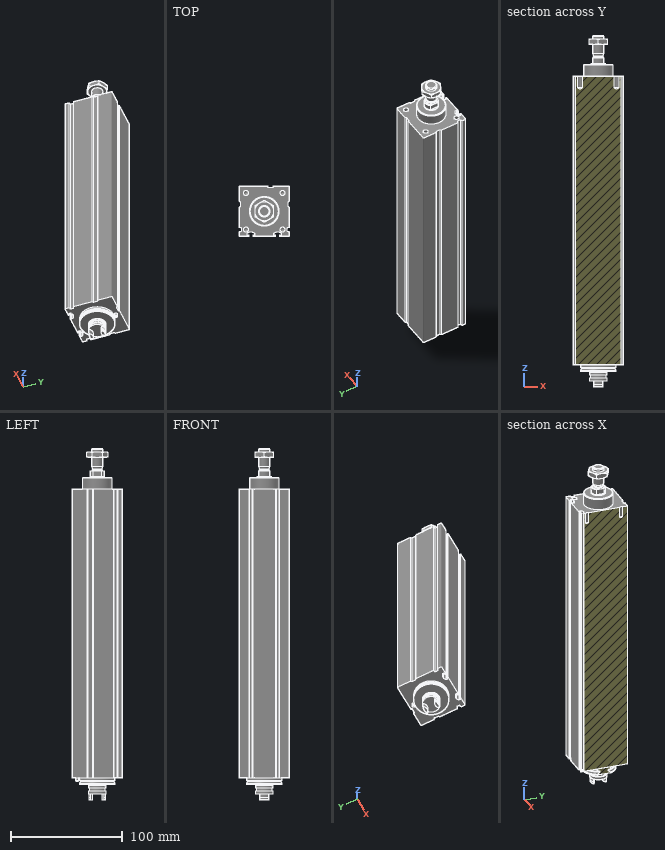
import cadquery as cq
import math

OVERALL_LENGTH = 314.8

HOUSING_SIDE = 45.0
HOUSING_LENGTH = 258.5
HOUSING_CORNER_RADIUS = 0.8
HALF_SIDE = HOUSING_SIDE / 2

SCREW_HOLE_OFFSET = 16.5
SCREW_HOLE_DIAMETER = 4.5
SCREW_HOLE_DEPTH = 10.0
DRILL_POINT_ANGLE = 118.0

SENSOR_SLOT_OFFSET = 12.0
SENSOR_SLOT_WIDTH = 6.5
SENSOR_SLOT_WALL = 1.5
SENSOR_SLOT_HEIGHT = 2.8
SENSOR_SLOT_ROOF = 2.2
SENSOR_SLOT_MOUTH = 3.8
SENSOR_SLOT_LIP = 1.1

CLAMP_GROOVE_Y = -16.5
CLAMP_GROOVE_WIDTH = 4.0
CLAMP_GROOVE_FLOOR = 2.8
CLAMP_GROOVE_DEPTH = 2.0

SIDE_GROOVE_Y = 6.3
SIDE_GROOVE_WIDTH = 5.7
SIDE_GROOVE_FLOOR = 3.8
BACK_GROOVE_X = 5.7
BACK_GROOVE_WIDTH = 4.7
SHALLOW_GROOVE_DEPTH = 1.1

CAP_DIAMETER = 26.5
CAP_LENGTH = 10.7
CAP_CHAMFER = 0.5

ROD_DIAMETER = 13.2
ROD_COLLAR_TOP = 0.5
WRENCH_DIAMETER = 12.5
WRENCH_FLATS = 10.0
WRENCH_TOP = 5.7
NECK_DIAMETER = 8.5
NECK_BOTTOM = 6.5
NECK_TOP = 7.5
STUD_DIAMETER = 10.0
STUD_START = 9.5
STUD_CHAMFER = 0.8

NUT_ACROSS_FLATS = 17.0
NUT_SIDES = 6
NUT_HEIGHT = 5.0
NUT_BEVEL_ANGLE = 30.0
STUD_ABOVE_NUT = 3.0

FLANGE_DIAMETER = 31.8
FLANGE_WAIST_DIAMETER = 30.2
FLANGE_LENGTH = 6.0
WAIST_TOP = 2.2
WAIST_BOTTOM = 3.0
RIM_TOP = 5.0

HUB_DIAMETER = 16.0
HUB_SPIGOT_DIAMETER = 13.2
HUB_TOP = 7.0
HUB_GROOVE_DIAMETER = 14.2
HUB_GROOVE_TOP = 8.8
HUB_GROOVE_BOTTOM = 11.5
HUB_BOTTOM = 14.5

CLAW_OUTER_DIAMETER = 15.0
CLAW_WIDTH = 8.5
CLAW_INNER_Y = 4.0
CLAW_GROOVE_DEPTH = 0.15
CLAW_GROOVE_TOP = 17.3
CLAW_GROOVE_BOTTOM = 19.2
CLAW_BOTTOM = 19.8
CLAW_CHAMFER = 0.47

PIN_DIAMETER = 3.0
PIN_LENGTH = 3.0
PIN_Y = 18.0
PIN_CHAMFER = 0.5

CAP_TOP = HOUSING_LENGTH + CAP_LENGTH
STUD_TOP = OVERALL_LENGTH - CLAW_BOTTOM
NUT_TOP = STUD_TOP - STUD_ABOVE_NUT
NUT_BOTTOM = NUT_TOP - NUT_HEIGHT


def turned(profile):
    """Solid of revolution about Z from (radius, z) points that start and end on the axis."""
    return cq.Workplane("XZ").polyline(profile).close().revolve(360, (0, 0, 0), (0, 1, 0))


def groove_cutter(mouth_width, floor_width, depth):
    """Full-length trapezoidal groove, open to +Y at Y = 0 and running along Z from Z = 0."""
    outline = [
        (-mouth_width / 2, 0),
        (-floor_width / 2, -depth),
        (floor_width / 2, -depth),
        (mouth_width / 2, 0),
    ]
    return cq.Workplane("XY").polyline(outline).close().extrude(HOUSING_LENGTH)


def sensor_slot_cutter(x):
    """Slot behind a narrow mouth in the -Y face, with bevels rising to a flat roof."""
    lip_y = -HALF_SIDE + SENSOR_SLOT_LIP
    half_outline = [
        (SENSOR_SLOT_MOUTH / 2, -HALF_SIDE),
        (SENSOR_SLOT_MOUTH / 2, lip_y),
        (SENSOR_SLOT_WIDTH / 2, lip_y),
        (SENSOR_SLOT_WIDTH / 2, lip_y + SENSOR_SLOT_WALL),
        (SENSOR_SLOT_ROOF / 2, lip_y + SENSOR_SLOT_HEIGHT),
    ]
    mirrored_half = [(-half_x, y) for half_x, y in reversed(half_outline)]
    slot = cq.Workplane("XY").polyline(half_outline + mirrored_half).close().extrude(HOUSING_LENGTH)
    return slot.translate((x, 0, 0))


def screw_hole_cutter(x, y):
    """Blind hole in the front end face with a drill-point bottom."""
    radius = SCREW_HOLE_DIAMETER / 2
    cone_top = HOUSING_LENGTH - SCREW_HOLE_DEPTH
    tip = cone_top - radius / math.tan(math.radians(DRILL_POINT_ANGLE / 2))
    hole = turned([(0, tip), (radius, cone_top), (radius, HOUSING_LENGTH), (0, HOUSING_LENGTH)])
    return hole.translate((x, y, 0))


def make_housing():
    """Square profile body with lengthwise grooves and four screw holes in front."""
    body = (
        cq.Workplane("XY")
        .rect(HOUSING_SIDE, HOUSING_SIDE)
        .extrude(HOUSING_LENGTH)
        .edges("|Z")
        .fillet(HOUSING_CORNER_RADIUS)
    )
    side_groove = groove_cutter(SIDE_GROOVE_WIDTH, SIDE_GROOVE_FLOOR, SHALLOW_GROOVE_DEPTH)
    clamp_groove = groove_cutter(CLAMP_GROOVE_WIDTH, CLAMP_GROOVE_FLOOR, CLAMP_GROOVE_DEPTH)
    back_groove = groove_cutter(BACK_GROOVE_WIDTH, BACK_GROOVE_WIDTH, SHALLOW_GROOVE_DEPTH)
    body = body.cut(back_groove.translate((BACK_GROOVE_X, HALF_SIDE, 0)))
    for side in (-1, 1):
        for groove, y in ((side_groove, SIDE_GROOVE_Y), (clamp_groove, CLAMP_GROOVE_Y)):
            facing_side = groove.rotate((0, 0, 0), (0, 0, 1), -90 * side)
            body = body.cut(facing_side.translate((side * HALF_SIDE, y, 0)))
        body = body.cut(sensor_slot_cutter(side * SENSOR_SLOT_OFFSET))
        for end in (-1, 1):
            body = body.cut(screw_hole_cutter(side * SCREW_HOLE_OFFSET, end * SCREW_HOLE_OFFSET))
    return body


def make_cap():
    """Round cap, chamfered in front and bored for the rod."""
    blank = (
        cq.Workplane("XY", origin=(0, 0, HOUSING_LENGTH))
        .circle(CAP_DIAMETER / 2)
        .extrude(CAP_LENGTH)
        .faces(">Z")
        .chamfer(CAP_CHAMFER)
    )
    return blank.faces(">Z").workplane().hole(ROD_DIAMETER)


def make_rod():
    """Round rod with a two-flat wrench section, a relieved neck and the threaded stud."""
    rod_radius = ROD_DIAMETER / 2
    wrench_radius = WRENCH_DIAMETER / 2
    half_flats = WRENCH_FLATS / 2
    neck_radius = NECK_DIAMETER / 2
    stud_radius = STUD_DIAMETER / 2
    collar_z = CAP_TOP + ROD_COLLAR_TOP
    wrench_z = CAP_TOP + WRENCH_TOP
    rod = turned([
        (0, HOUSING_LENGTH),
        (rod_radius, HOUSING_LENGTH),
        (rod_radius, collar_z),
        (wrench_radius, collar_z),
        (wrench_radius, wrench_z),
        (half_flats, wrench_z),
        (neck_radius, CAP_TOP + NECK_BOTTOM),
        (neck_radius, CAP_TOP + NECK_TOP),
        (stud_radius, CAP_TOP + STUD_START),
        (stud_radius, STUD_TOP - STUD_CHAMFER),
        (stud_radius - STUD_CHAMFER, STUD_TOP),
        (0, STUD_TOP),
    ])
    for side in (-1, 1):
        flat = (
            cq.Workplane("XY", origin=(side * (half_flats + wrench_radius), 0, collar_z))
            .rect(WRENCH_DIAMETER, WRENCH_DIAMETER)
            .extrude(wrench_z - collar_z)
        )
        rod = rod.cut(flat)
    return rod


def make_nut():
    """Hexagon nut with flats facing -X and +X and its corners bevelled at both ends."""
    half_sector = 180 / NUT_SIDES
    flat_radius = NUT_ACROSS_FLATS / 2
    corner_radius = flat_radius / math.cos(math.radians(half_sector))
    bevel_drop = (corner_radius - flat_radius) * math.tan(math.radians(NUT_BEVEL_ANGLE))
    bevelled_blank = turned([
        (0, NUT_BOTTOM),
        (flat_radius, NUT_BOTTOM),
        (corner_radius, NUT_BOTTOM + bevel_drop),
        (corner_radius, NUT_TOP - bevel_drop),
        (flat_radius, NUT_TOP),
        (0, NUT_TOP),
    ])
    return (
        cq.Workplane("XY", origin=(0, 0, NUT_BOTTOM))
        .transformed(rotate=(0, 0, half_sector))
        .polygon(NUT_SIDES, 2 * corner_radius)
        .circle(STUD_DIAMETER / 2)
        .extrude(NUT_HEIGHT)
        .intersect(bevelled_blank)
    )


def make_flange():
    """Round rear flange with a tapered waist groove."""
    rim = FLANGE_DIAMETER / 2
    waist = FLANGE_WAIST_DIAMETER / 2
    return turned([
        (0, 0),
        (rim, 0),
        (rim, -WAIST_TOP),
        (waist, -WAIST_TOP),
        (waist, -WAIST_BOTTOM),
        (rim, -RIM_TOP),
        (rim, -FLANGE_LENGTH),
        (0, -FLANGE_LENGTH),
    ])


def claw_prism():
    """Lens-shaped claw on the +Y side, convex outwards and inwards."""
    outer_y = CLAW_OUTER_DIAMETER / 2
    half_width = CLAW_WIDTH / 2
    tip_y = math.sqrt(outer_y**2 - half_width**2)
    return (
        cq.Workplane("XY", origin=(0, 0, -CLAW_BOTTOM))
        .moveTo(-half_width, tip_y)
        .threePointArc((0, outer_y), (half_width, tip_y))
        .threePointArc((0, CLAW_INNER_Y), (-half_width, tip_y))
        .close()
        .extrude(CLAW_BOTTOM - HUB_BOTTOM)
    )


def claw_envelope():
    """Turned outside of both claws: a shallow ring groove and a chamfered end."""
    outer = CLAW_OUTER_DIAMETER / 2
    groove = outer - CLAW_GROOVE_DEPTH
    return turned([
        (0, -HUB_BOTTOM),
        (outer, -HUB_BOTTOM),
        (outer, -CLAW_GROOVE_TOP),
        (groove, -CLAW_GROOVE_TOP),
        (groove, -CLAW_GROOVE_BOTTOM),
        (outer - CLAW_CHAMFER, -CLAW_BOTTOM),
        (0, -CLAW_BOTTOM),
    ])


def make_hub():
    """Drive hub with a ring groove and two opposed claws."""
    spigot = HUB_SPIGOT_DIAMETER / 2
    outer = HUB_DIAMETER / 2
    groove = HUB_GROOVE_DIAMETER / 2
    hub = turned([
        (0, -FLANGE_LENGTH),
        (spigot, -FLANGE_LENGTH),
        (spigot, -HUB_TOP),
        (outer, -HUB_TOP),
        (outer, -HUB_GROOVE_TOP),
        (groove, -HUB_GROOVE_TOP),
        (groove, -HUB_GROOVE_BOTTOM),
        (outer, -HUB_GROOVE_BOTTOM),
        (outer, -HUB_BOTTOM),
        (0, -HUB_BOTTOM),
    ])
    claw = claw_prism().intersect(claw_envelope())
    for angle in (0, 180):
        hub = hub.union(claw.rotate((0, 0, 0), (0, 0, 1), angle))
    return hub


def make_locating_pin():
    """Small pin standing on the rear end face of the housing."""
    return (
        cq.Workplane("XY", origin=(0, PIN_Y, -PIN_LENGTH))
        .circle(PIN_DIAMETER / 2)
        .extrude(PIN_LENGTH)
        .faces("<Z")
        .chamfer(PIN_CHAMFER)
    )


housing = make_housing()
cap = make_cap()
rod = make_rod()
nut = make_nut()
flange = make_flange()
hub = make_hub()
locating_pin = make_locating_pin()

result = cq.Compound.makeCompound([
    housing.val(),
    cap.val(),
    rod.val(),
    nut.val(),
    flange.val(),
    hub.val(),
    locating_pin.val(),
])